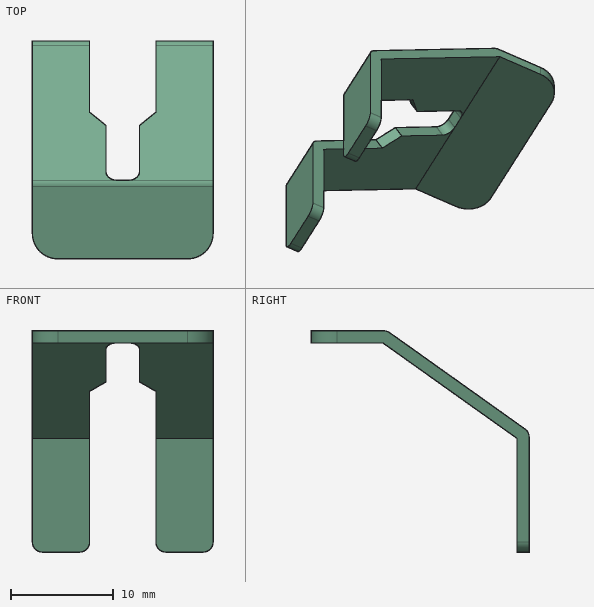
import cadquery as cq
import math

width = 17.6
depth = 21.2
height = 21.55
thickness = 1.2
bend_radius = 1.0
tab_length = 6.98
leg_height = 11.08
tab_corner_radius = 2.5
leg_corner_radius = 1.0

wide_slot = 6.42
narrow_slot = 3.23
narrow_length = 6.5
slot_corner_radius = 1.0
shoulder_length = (wide_slot - narrow_slot) / 2

tab_underside = height - thickness
leg_front = depth - thickness
web_run = leg_front - tab_length
web_rise = tab_underside - leg_height
slope = math.atan2(web_rise, web_run)
web_length = math.hypot(web_run, web_rise)

upper_mitre = thickness * math.tan(slope / 2)
lower_mitre = thickness * math.tan((math.pi / 2 - slope) / 2)


def bent_sheet():
    profile = [
        (0, tab_underside),
        (tab_length, tab_underside),
        (leg_front, leg_height),
        (leg_front, 0),
        (depth, 0),
        (depth, leg_height + lower_mitre),
        (tab_length + upper_mitre, height),
        (0, height),
    ]
    sheet = cq.Workplane("YZ").polyline(profile).close().extrude(width / 2, both=True)
    upper_bend = sheet.edges("|X and >Z").edges(">Y")
    lower_bend = sheet.edges("|X and >Y").edges(">Z")
    return sheet.newObject(upper_bend.vals() + lower_bend.vals()).fillet(bend_radius)


def web_slot():
    """Stepped slot cut square to the sloped web, ending at the upper bend."""
    web_plane = cq.Plane(
        origin=(0, tab_length, tab_underside),
        xDir=(1, 0, 0),
        normal=(0, math.sin(slope), math.cos(slope)),
    )
    half_narrow = narrow_slot / 2
    half_wide = wide_slot / 2
    outline = [
        (-half_narrow, 0),
        (half_narrow, 0),
        (half_narrow, narrow_length),
        (half_wide, narrow_length + shoulder_length),
        (half_wide, web_length + thickness),
        (-half_wide, web_length + thickness),
        (-half_wide, narrow_length + shoulder_length),
        (-half_narrow, narrow_length),
    ]
    cutter = cq.Workplane(web_plane).polyline(outline).close().extrude(2 * thickness, both=True)
    end_corners = cq.selectors.ParallelDirSelector(web_plane.zDir)
    slot_end = cutter.faces(cq.selectors.DirectionMinMaxSelector(web_plane.yDir, False))
    return slot_end.edges(end_corners).fillet(slot_corner_radius)


def leg_gap():
    gap_height = leg_height + lower_mitre
    return cq.Workplane("XY").box(wide_slot, thickness, gap_height, centered=(True, False, False)).translate(
        (0, leg_front, 0)
    )


result = bent_sheet()
result = result.edges("|Z and <Y").fillet(tab_corner_radius)
result = result.cut(web_slot()).cut(leg_gap())
result = result.faces("<Z").edges("|Y").fillet(leg_corner_radius)